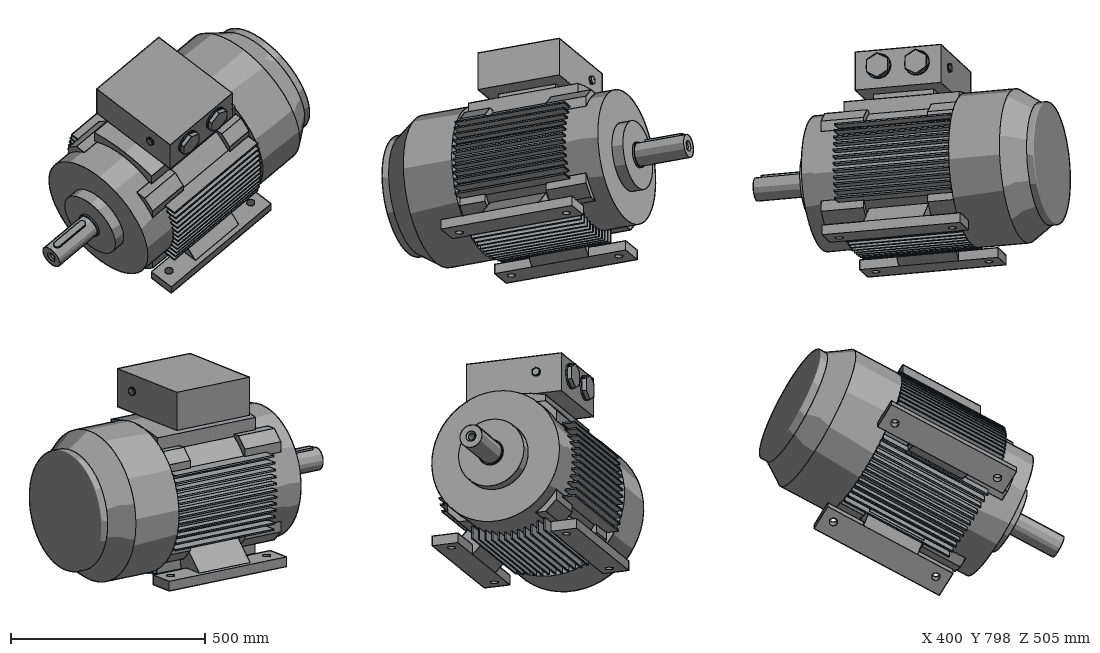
import cadquery as cq
import math


overall_width = 400.0
overall_height = 505.0

shaft_collar_front_y = 140.0
boss_front_y = 144.5
shield_front_y = 175.5
ribs_front_y = 267.0
ribs_back_y = 578.5
cowl_front_y = 580.0
cowl_taper_y = 717.5
cowl_ring_y = 778.0
cowl_back_y = 798.0

frame_radius = 176.0
boss_radius = 90.0
cowl_radius = overall_width / 2
cowl_ring_radius = 159.5
cowl_rim_fillet = 2.0

fin_count = 12
fin_bank_span = 199.0
fin_pitch = fin_bank_span / (fin_count - 1)
fin_thickness = 4.0
crown_height = 196.0
crown_radius = 399.0
saddle_half_width = 102.0
crown_end_height = crown_height - crown_radius + math.sqrt(crown_radius**2 - saddle_half_width**2)

lug_inner = 93.0
lug_outer = 150.0
lug_chamfer = 29.0
front_lug_y = (221.0, 335.0)
back_lug_y = (508.0, cowl_front_y)

foot_bottom_z = -cowl_radius
foot_height = 26.0
foot_inner_x = 128.5
foot_outer_x = 199.5
foot_front_y = 239.0
foot_back_y = 611.0
foot_hole_x = 159.0
foot_hole_spacing = 305.0
foot_hole_diameter = 21.0
foot_top_z = foot_bottom_z + foot_height
foot_middle_y = (foot_front_y + foot_back_y) / 2

web_front_y = 344.0
web_back_y = 505.0
web_outer_x = 185.0
web_rise = 68.0

box_half_width = 131.0
box_front_y = 306.5
box_back_y = 538.0
box_top_z = overall_height - cowl_radius
box_bottom_z = 203.0
pedestal_half_width = 80.5
pedestal_front_y = 340.0
pedestal_back_y = 503.0
box_middle_y = (box_front_y + box_back_y) / 2

fitting_z = 261.0
plug_x = 62.0
plug_radius = 11.0
plug_washer = 2.0
plug_length = 6.0
gland_spacing = 104.0
gland_radius = 33.0
gland_washer = 4.0
gland_length = 15.0

shaft_radius = 30.0
collar_radius = 33.5
seat_depth = 24.0
shaft_back_y = boss_front_y + seat_depth
key_width = 18.0
key_front_y = 13.0
key_back_y = 124.0
key_top_z = 34.0
centre_hole_radius = 9.0
centre_hole_mouth_radius = 13.5
centre_hole_depth = 40.0
drill_point_angle = 118
centre_hole_tip = centre_hole_radius / math.tan(math.radians(drill_point_angle / 2))


def box_between(x0, x1, y0, y1, z0, z1):
    return cq.Workplane("XY").box(x1 - x0, y1 - y0, z1 - z0, centered=False).translate((x0, y0, z0))


def along_y(outline, y0, y1):
    """Extrude an outline drawn on the XZ plane from y0 to y1."""
    return outline.extrude(y0 - y1).translate((0, y0, 0))


def turned(points):
    """Revolve a (radius, y) outline about the motor axis."""
    outline = [(y, radius) for radius, y in points]
    return cq.Workplane("YZ").polyline(outline).close().revolve(360, (0, 0, 0), (1, 0, 0))


def round_body():
    """Boss, end shield, frame and tapered fan cover."""
    body = turned([
        (0, boss_front_y),
        (boss_radius, boss_front_y),
        (boss_radius, shield_front_y),
        (frame_radius, shield_front_y),
        (frame_radius, cowl_front_y),
        (cowl_radius, cowl_front_y),
        (cowl_radius, cowl_taper_y),
        (cowl_ring_radius, cowl_ring_y),
        (cowl_ring_radius, cowl_back_y),
        (0, cowl_back_y),
    ])
    return body.faces(">Y").edges().fillet(cowl_rim_fillet)


def saddle():
    """Crowned pad on top of the frame."""
    outline = (
        cq.Workplane("XZ")
        .moveTo(-saddle_half_width, 0)
        .lineTo(-saddle_half_width, crown_end_height)
        .threePointArc((0, crown_height), (saddle_half_width, crown_end_height))
        .lineTo(saddle_half_width, 0)
        .close()
    )
    return along_y(outline, ribs_front_y, ribs_back_y)


def fin_bank():
    """One bank of upright fins on top of the frame, cut to the crown arc."""
    fins = cq.Workplane("XY")
    for index in range(fin_count):
        left_x = index * fin_pitch - (fin_bank_span + fin_thickness) / 2
        fin = box_between(left_x, left_x + fin_thickness, ribs_front_y, ribs_back_y, 0, crown_height)
        fins = fins.add(fin)
    return fins.combine().intersect(saddle())


def lug(y0, y1):
    """Chamfered block at the upper +X corner of the frame."""
    block = box_between(lug_inner, lug_outer, y0, y1, lug_inner, lug_outer)
    return block.edges(">X and >Z").chamfer(lug_chamfer)


def foot():
    """Foot bar on the +X side with its two bolt holes and its sloping web."""
    bar = box_between(foot_inner_x, foot_outer_x, foot_front_y, foot_back_y, foot_bottom_z, foot_top_z)
    holes = (
        cq.Workplane("XY", origin=(foot_hole_x, foot_middle_y, foot_bottom_z))
        .rarray(8, foot_hole_spacing, 1, 2)
        .circle(foot_hole_diameter / 2)
        .extrude(foot_height)
    )
    web_outline = cq.Workplane("XZ").polyline([
        (foot_inner_x, foot_bottom_z),
        (foot_inner_x, foot_top_z),
        (web_outer_x, foot_top_z),
        (web_outer_x - web_rise, foot_top_z + web_rise),
        (foot_inner_x - web_rise, foot_bottom_z + web_rise),
    ]).close()
    return bar.cut(holes).union(along_y(web_outline, web_front_y, web_back_y))


def fitting(radius, washer, length):
    """Round washer and hexagonal head, standing along Z from the origin."""
    hexagon = cq.Workplane("XY").polygon(6, 2 * radius).extrude(length)
    return cq.Workplane("XY").circle(radius).extrude(washer).union(hexagon)


def terminal_box():
    """Box on its pedestal, with a plug at each end and two glands on the +X side."""
    box = box_between(-box_half_width, box_half_width, box_front_y, box_back_y, box_bottom_z, box_top_z)
    pedestal = box_between(
        -pedestal_half_width,
        pedestal_half_width,
        pedestal_front_y,
        pedestal_back_y,
        frame_radius,
        box_bottom_z,
    )
    box = box.union(pedestal)
    plug = fitting(plug_radius, plug_washer, plug_length).rotate((0, 0, 0), (0, 0, 1), 90)
    box = box.union(plug.rotate((0, 0, 0), (1, 0, 0), 90).translate((plug_x, box_front_y, fitting_z)))
    box = box.union(plug.rotate((0, 0, 0), (1, 0, 0), -90).translate((plug_x, box_back_y, fitting_z)))
    gland = fitting(gland_radius, gland_washer, gland_length).rotate((0, 0, 0), (0, 1, 0), 90)
    for side in (-1, 1):
        y = box_middle_y + side * gland_spacing / 2
        box = box.union(gland.translate((box_half_width, y, fitting_z)))
    return box


def make_shaft():
    """Stepped output shaft with its feather key and centre hole."""
    body = turned([
        (0, 0),
        (shaft_radius, 0),
        (shaft_radius, shaft_collar_front_y),
        (collar_radius, shaft_collar_front_y),
        (collar_radius, shaft_back_y),
        (0, shaft_back_y),
    ])
    key = (
        cq.Workplane("XY", origin=(0, (key_front_y + key_back_y) / 2, 0))
        .slot2D(key_back_y - key_front_y, key_width, 90)
        .extrude(key_top_z)
    )
    chamfer_depth = centre_hole_mouth_radius - centre_hole_radius
    centre_hole = turned([
        (0, 0),
        (centre_hole_mouth_radius, 0),
        (centre_hole_radius, chamfer_depth),
        (centre_hole_radius, centre_hole_depth),
        (0, centre_hole_depth + centre_hole_tip),
    ])
    return body.union(key).cut(centre_hole)


def make_housing(shaft):
    """Frame, end shield, fan cover, feet and terminal box, with a seat for the shaft."""
    housing = round_body().union(saddle())
    for angle in (-90, 90, 180):
        housing = housing.union(fin_bank().rotate((0, 0, 0), (0, 1, 0), angle))
    for angle in (0, 90, 180, 270):
        for y0, y1 in (front_lug_y, back_lug_y):
            housing = housing.union(lug(y0, y1).rotate((0, 0, 0), (0, 1, 0), angle))
    right_foot = foot()
    housing = housing.union(right_foot).union(right_foot.mirror("YZ"))
    return housing.union(terminal_box()).cut(shaft)


shaft = make_shaft()
housing = make_housing(shaft)

result = cq.Compound.makeCompound([housing.val(), shaft.val()])